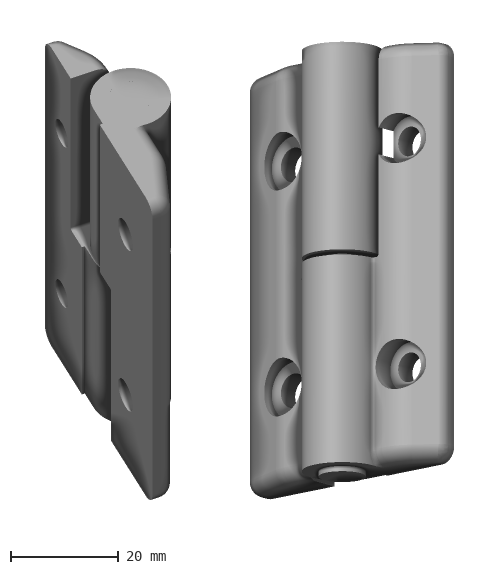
import cadquery as cq
import math

hinge_width = 48.0
hinge_height = 80.0
leaf_thickness = 8.1

axis_x = 20.5
axis_y = 8.1
knuckle_radius = 7.5
knuckle_gap = 1.0
leaf_clearance = 1.5
knuckle_height = (hinge_height - knuckle_gap) / 2
swing_radius = knuckle_radius + leaf_clearance
relief_half_width = 4.0
relief_depth = axis_y - knuckle_radius

end_round = 3.0
knuckle_blend = 0.7
notch_corner_round = 0.6

left_reach = axis_x
left_slope_angle = 35.0
left_edge_height = 2.8
left_bend_radius = 10.0
left_edge_round = 2.0

right_reach = hinge_width - axis_x
right_slope_angle = 20.0
right_edge_height = 3.75
right_bend_radius = 7.0
right_edge_round = 3.0

hole_spacing = 43.0
counterbore_floor_y = 4.0
left_hole_inset = 7.5
left_hole_diameter = 5.6
left_counterbore_diameter = 9.5
right_hole_inset = 12.0
right_hole_diameter = 6.5
right_counterbore_diameter = 11.0

pin_radius = 4.0
pin_head_radius = 4.4
pin_head_height = 1.0

stock = 20.0
overcut = 2 * stock


def block(x_limits, y_limits, z_limits):
    """Box between the given limits."""
    size = [high - low for low, high in (x_limits, y_limits, z_limits)]
    corner = (x_limits[0], y_limits[0], z_limits[0])
    return cq.Workplane("XY").box(*size, centered=False).translate(corner)


def rod(radius, bottom, top):
    """Cylinder on the hinge axis, which stands at X = 0."""
    return cq.Workplane("XY", origin=(0, axis_y, bottom)).circle(radius).extrude(top - bottom)


def leaf_blank(reach, slope_angle, edge_height, bend_radius, edge_round):
    """Full-height plate with a sloped back and rounded edges.

    It carries extra stock past the hinge axis and in front of Y = 0, trimmed off later.
    """
    angle = math.radians(slope_angle)
    crest_x = -reach + (leaf_thickness - edge_height) / math.tan(angle)
    bend_length = bend_radius * math.tan(angle / 2)
    bend_end_x = crest_x + bend_length
    bend_start = (
        crest_x - bend_length * math.cos(angle),
        leaf_thickness - bend_length * math.sin(angle),
    )
    bend_middle = (
        bend_end_x - bend_radius * math.sin(angle / 2),
        leaf_thickness - bend_radius * (1 - math.cos(angle / 2)),
    )
    plate = (
        cq.Workplane("XY")
        .moveTo(-reach, -stock)
        .lineTo(-reach, edge_height)
        .lineTo(*bend_start)
        .threePointArc(bend_middle, (bend_end_x, leaf_thickness))
        .lineTo(stock, leaf_thickness)
        .lineTo(stock, -stock)
        .close()
        .extrude(hinge_height)
    )
    outer_edge = cq.selectors.NearestToPointSelector((-reach, edge_height, hinge_height / 2))
    plate = plate.edges(outer_edge).fillet(edge_round)
    return plate.faces("<Z or >Z").edges("not(<Y or >X)").fillet(end_round)


def notch_for_other_knuckle(corner_round):
    """Clearance above the leaf's own knuckle for the other one to swing in."""
    notch = block((-swing_radius, overcut), (-overcut, overcut), (knuckle_height, 2 * hinge_height))
    if corner_round > 0:
        notch = notch.edges("|Y and <X and <Z").fillet(corner_round)
    return notch


def add_knuckle(plate):
    """Join the knuckle to the plate, blend the corner between them and trim the stock."""
    leaf = plate.union(rod(knuckle_radius, -stock, knuckle_height))
    corner = cq.selectors.NearestToPointSelector((-knuckle_radius, leaf_thickness, knuckle_height / 2))
    leaf = leaf.edges(corner).fillet(knuckle_blend)
    below = block((-overcut, overcut), (-overcut, overcut), (-overcut, 0))
    in_front = block((-overcut, overcut), (-overcut, 0), (-overcut, overcut + hinge_height))
    past_axis = block((0, overcut), (-overcut, overcut), (-overcut, hinge_height))
    past_axis = past_axis.cut(rod(knuckle_radius, -overcut, hinge_height))
    relief = block((-relief_half_width, 0), (0, relief_depth), (0, hinge_height))
    leaf = leaf.cut(below).cut(in_front).cut(past_axis).cut(relief)
    return leaf.cut(rod(pin_radius, 0, hinge_height))


def screw_holes(x, diameter, counterbore_diameter):
    """Cutter for the two holes through the leaf, counterbored from its back."""
    levels = [(x, (hinge_height - hole_spacing) / 2), (x, (hinge_height + hole_spacing) / 2)]
    through = cq.Workplane("XZ").pushPoints(levels).circle(diameter / 2).extrude(-leaf_thickness)
    back = cq.Workplane("XZ", origin=(0, counterbore_floor_y, 0)).pushPoints(levels)
    return through.union(back.circle(counterbore_diameter / 2).extrude(-leaf_thickness))


def build_left_leaf():
    """Narrow leaf with the lower knuckle, built around an axis at X = 0."""
    plate = leaf_blank(
        left_reach, left_slope_angle, left_edge_height, left_bend_radius, left_edge_round
    )
    leaf = add_knuckle(plate.cut(notch_for_other_knuckle(notch_corner_round)))
    hole_x = left_hole_inset - left_reach
    leaf = leaf.cut(screw_holes(hole_x, left_hole_diameter, left_counterbore_diameter))
    return leaf.translate((axis_x, 0, 0))


def build_right_leaf():
    """Wide leaf with the upper knuckle, built like the left one and given half a turn."""
    plate = leaf_blank(
        right_reach, right_slope_angle, right_edge_height, right_bend_radius, right_edge_round
    )
    leaf = add_knuckle(plate.cut(notch_for_other_knuckle(0)))
    hole_x = right_hole_inset - right_reach
    leaf = leaf.cut(screw_holes(hole_x, right_hole_diameter, right_counterbore_diameter))
    half_height = hinge_height / 2
    leaf = leaf.rotate((0, 0, half_height), (0, 1, half_height), 180)
    return leaf.translate((axis_x, 0, 0))


def build_pin():
    """Hinge pin, flush with the upper knuckle and headed below the lower one."""
    pin = rod(pin_radius, 0, hinge_height).union(rod(pin_head_radius, -pin_head_height, 0))
    return pin.translate((axis_x, 0, 0))


left_leaf = build_left_leaf()
right_leaf = build_right_leaf()
pin = build_pin()

result = cq.Compound.makeCompound([left_leaf.val(), right_leaf.val(), pin.val()])